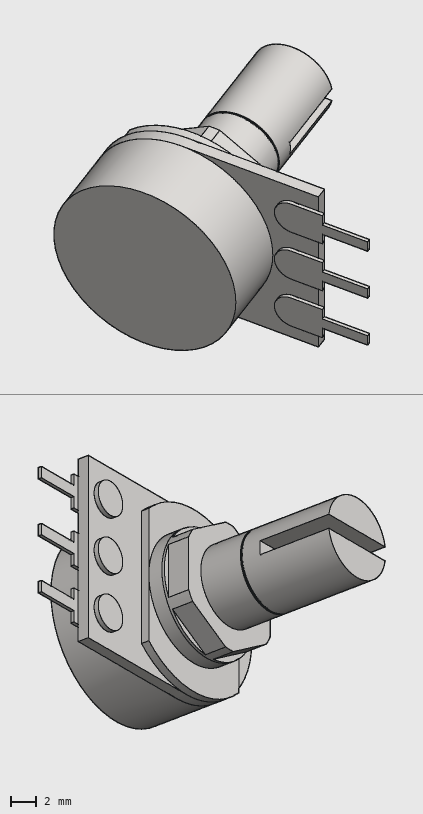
import cadquery as cq
import math


body_diameter = 16.0
cap_length = 6.0
board_thickness = 1.0
board_reach = 12.0

plate_thickness = 0.74
collar_diameter = 11.0
collar_length = 1.3
sleeve_diameter = 7.0

nut_flange_thickness = 0.25
nut_hex_length = 2.0
nut_across_flats = 9.97

shaft_tip = 24.0
neck_start = 15.25
neck_length = 0.15
neck_diameter = 6.8
slot_width = 1.22
slot_bottom = 17.17

terminal_count = 3
terminal_pitch = 5.0
terminal_thickness = 0.32
rivet_diameter = 3.0
rivet_head_height = 0.42
rivet_x = 9.8
pad_end = 12.52
stem_width = 1.0
terminal_tip = 24.5 - body_diameter / 2

board_back = cap_length + board_thickness
plate_back = board_back + plate_thickness
collar_back = plate_back + collar_length
nut_flange_back = collar_back + nut_flange_thickness
nut_back = nut_flange_back + nut_hex_length

terminal_heights = [(i - (terminal_count - 1) / 2) * terminal_pitch for i in range(terminal_count)]


def plane_at(y):
    """Sketch plane at the given Y: local x is X, local y is Z, extrusion goes toward +Y."""
    return cq.Workplane(cq.Plane(origin=(0, y, 0), xDir=(1, 0, 0), normal=(0, -1, 0)))


def cylinder(diameter, start, end, x=0, z=0):
    """Cylinder parallel to Y between two stations."""
    return plane_at(start).center(x, z).circle(diameter / 2).extrude(start - end)


def block(x_start, x_end, height, y_start, y_end, z=0):
    """Rectangular block centred on height z."""
    return (
        plane_at(y_start)
        .center((x_start + x_end) / 2, z)
        .rect(x_end - x_start, height)
        .extrude(y_start - y_end)
    )


def make_cap():
    return cylinder(body_diameter, 0, cap_length)


def make_board():
    """Board with a round end at -X and a rivet hole for each terminal."""
    board = cylinder(body_diameter, cap_length, board_back).union(
        block(0, board_reach, body_diameter, cap_length, board_back)
    )
    for z in terminal_heights:
        board = board.cut(cylinder(rivet_diameter, cap_length, board_back, rivet_x, z))
    return board


def make_bushing():
    """Plate with flats in line with the collar, then the collar and the sleeve."""
    half_width = collar_diameter / 2
    plate = cylinder(body_diameter, board_back, plate_back).intersect(
        block(-half_width, half_width, body_diameter, board_back, plate_back)
    )
    collar = cylinder(collar_diameter, plate_back, collar_back)
    sleeve = cylinder(sleeve_diameter, collar_back, neck_start)
    return plate.union(collar).union(sleeve)


def make_nut():
    """Flanged nut whose hexagon corners are trimmed to the flange diameter."""
    across_corners = nut_across_flats / math.cos(math.pi / 6)
    hexagon = (
        plane_at(nut_flange_back)
        .transformed(rotate=(0, 0, 90))
        .polygon(6, across_corners)
        .extrude(-nut_hex_length)
    )
    hexagon = hexagon.intersect(cylinder(collar_diameter, nut_flange_back, nut_back))
    flange = cylinder(collar_diameter, collar_back, nut_flange_back)
    bore = cylinder(sleeve_diameter, collar_back, nut_back)
    return flange.union(hexagon).cut(bore)


def make_shaft():
    """Shaft on a short neck, with a slot across its tip along X."""
    neck_end = neck_start + neck_length
    neck = cylinder(neck_diameter, neck_start, neck_end)
    shaft = neck.union(cylinder(sleeve_diameter, neck_end, shaft_tip))
    slot = block(-sleeve_diameter / 2, sleeve_diameter / 2, slot_width, slot_bottom, shaft_tip)
    return shaft.cut(slot)


def make_terminal(z):
    """Flat pad and stem on the board, with a rivet through to the other side."""
    front = cap_length - terminal_thickness
    rivet = cylinder(rivet_diameter, front, board_back + rivet_head_height, rivet_x, z)
    pad = block(rivet_x, pad_end, rivet_diameter, front, cap_length, z)
    stem = block(pad_end, terminal_tip, stem_width, front, cap_length, z)
    return rivet.union(pad).union(stem)


cap = make_cap()
board = make_board()
bushing = make_bushing()
nut = make_nut()
shaft = make_shaft()
terminals = [make_terminal(z) for z in terminal_heights]

result = cq.Compound.makeCompound([
    cap.solids().val(),
    board.solids().val(),
    bushing.solids().val(),
    nut.solids().val(),
    shaft.solids().val(),
    *[terminal.solids().val() for terminal in terminals],
])